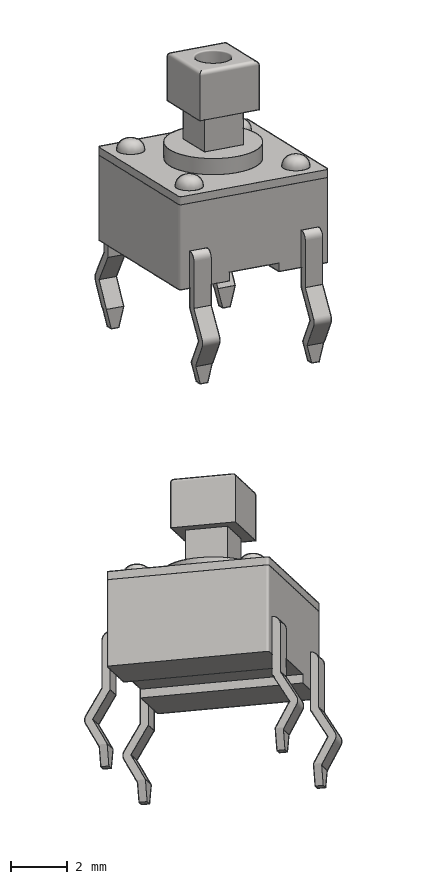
import cadquery as cq
import math


body_side = 6.0
body_top = 3.5
corner_radius = 0.1
cover_thickness = 0.3
housing_height = body_top - cover_thickness
channel_width = 2.0
channel_depth = 0.32

rivet_diameter = 1.0
rivet_height = 0.4
rivet_offset = 2.15

collar_diameter = 3.5
collar_top = 4.1
stem_side = 1.57
cap_side = 2.4
cap_height = 1.83
cap_fillet = 0.15
button_top = 7.3
button_hole_diameter = 1.3
button_hole_depth = cap_height
button_hole_rounding = 0.05

strip_thickness = 0.3
leg_width = 0.7
leg_offset_y = 2.25
leg_top = 1.4
overall_height = 10.8
leg_bottom = button_top - overall_height
leg_span = 7.9
upper_bend_z = -0.75
knee_z = -1.78
tip_bend_z = -2.73
tip_inner_x = 3.11
tip_end_width = 0.3
tip_taper_top = -2.74


def make_housing():
    """Square block with rounded corners and a channel along X across its underside."""
    block = (
        cq.Workplane("XY")
        .rect(body_side, body_side)
        .extrude(housing_height)
        .edges("|Z")
        .fillet(corner_radius)
    )
    channel = cq.Workplane("XY").rect(body_side, channel_width).extrude(channel_depth)
    return block.cut(channel)


def make_rivet_head():
    """Round head standing on Z = 0, its whole side rounded over into a small flat top."""
    radius = rivet_diameter / 2
    flat_radius = radius - rivet_height
    half_chord = rivet_height * math.sqrt(0.5)
    return (
        cq.Workplane("XZ")
        .moveTo(0, 0)
        .lineTo(radius, 0)
        .threePointArc((flat_radius + half_chord, half_chord), (flat_radius, rivet_height))
        .lineTo(0, rivet_height)
        .close()
        .revolve(360, (0, 0), (0, 1))
    )


def make_cover():
    """Flat plate with a rivet head near each corner."""
    cover = (
        cq.Workplane("XY", origin=(0, 0, housing_height))
        .rect(body_side, body_side)
        .extrude(cover_thickness)
        .edges("|Z")
        .fillet(corner_radius)
    )
    head = make_rivet_head()
    for side_x in (-1, 1):
        for side_y in (-1, 1):
            place = (side_x * rivet_offset, side_y * rivet_offset, body_top)
            cover = cover.union(head.translate(place))
    return cover


def make_button():
    """Round collar, square stem and square cap with a blind hole rounded at its floor and rim."""
    cap_bottom = button_top - cap_height
    collar = (
        cq.Workplane("XY", origin=(0, 0, body_top))
        .circle(collar_diameter / 2)
        .extrude(collar_top - body_top)
    )
    stem = (
        cq.Workplane("XY", origin=(0, 0, collar_top))
        .rect(stem_side, stem_side)
        .extrude(cap_bottom - collar_top)
    )
    cap = (
        cq.Workplane("XY", origin=(0, 0, cap_bottom))
        .rect(cap_side, cap_side)
        .extrude(cap_height)
        .faces(">Z")
        .edges()
        .fillet(cap_fillet)
    )
    hole_bottom = button_top - button_hole_depth
    hole = (
        cq.Workplane("XY", origin=(0, 0, hole_bottom))
        .circle(button_hole_diameter / 2)
        .extrude(button_hole_depth)
        .faces("<Z")
        .edges()
        .fillet(button_hole_rounding)
    )
    button = collar.union(stem).union(cap).cut(hole)
    rim = button.faces(">Z").edges("%CIRCLE")
    return rim.fillet(button_hole_rounding)


def knee_arc_point(knee_inner_x, angle):
    """Point on the rounded outside of the knee, at an angle above the horizontal."""
    return (
        knee_inner_x + strip_thickness * math.cos(angle),
        knee_z + strip_thickness * math.sin(angle),
    )


def make_leg():
    """Leg on the +X, +Y corner: a bent strip with a rounded top and knee and a tapered tip."""
    inner_x = body_side / 2
    outer_x = inner_x + strip_thickness
    tip_outer_x = tip_inner_x + strip_thickness

    knee_outer_x = leg_span / 2
    knee_inner_x = knee_outer_x - strip_thickness
    upper_angle = math.atan((knee_inner_x - inner_x) / (upper_bend_z - knee_z))
    lower_angle = math.atan((knee_inner_x - tip_inner_x) / (knee_z - tip_bend_z))
    upper_miter = strip_thickness * math.tan(upper_angle / 2)
    tip_miter = strip_thickness * math.tan(lower_angle / 2)
    arc_start = knee_arc_point(knee_inner_x, upper_angle)
    arc_end = knee_arc_point(knee_inner_x, -lower_angle)
    half_chord = strip_thickness * math.sqrt(0.5)
    top_arc_z = leg_top - strip_thickness

    strip = (
        cq.Workplane("XZ", origin=(0, leg_offset_y + leg_width / 2, 0))
        .moveTo(inner_x, leg_top)
        .threePointArc((inner_x + half_chord, top_arc_z + half_chord), (outer_x, top_arc_z))
        .lineTo(outer_x, upper_bend_z + upper_miter)
        .lineTo(*arc_start)
        .threePointArc((knee_outer_x, knee_z), arc_end)
        .lineTo(tip_outer_x, tip_bend_z - tip_miter)
        .lineTo(tip_outer_x, leg_bottom)
        .lineTo(tip_inner_x, leg_bottom)
        .lineTo(tip_inner_x, tip_bend_z)
        .lineTo(knee_inner_x, knee_z)
        .lineTo(inner_x, upper_bend_z)
        .close()
        .extrude(leg_width)
    )

    half_width = leg_width / 2
    half_end = tip_end_width / 2
    outline = (
        cq.Workplane("YZ", origin=(0, leg_offset_y, 0))
        .polyline(
            [
                (-half_width, leg_top),
                (half_width, leg_top),
                (half_width, tip_taper_top),
                (half_end, leg_bottom),
                (-half_end, leg_bottom),
                (-half_width, tip_taper_top),
            ]
        )
        .close()
        .extrude(leg_span / 2)
    )
    return strip.intersect(outline)


def make_legs():
    """One leg per corner, each mirrored from the +X, +Y leg."""
    right_back = make_leg()
    legs = []
    for row in (right_back, right_back.mirror("XZ")):
        legs.append(row.val())
        legs.append(row.mirror("YZ").val())
    return legs


housing = make_housing()
cover = make_cover()
button = make_button()
legs = make_legs()

result = cq.Compound.makeCompound([housing.val(), cover.val(), button.val(), *legs])